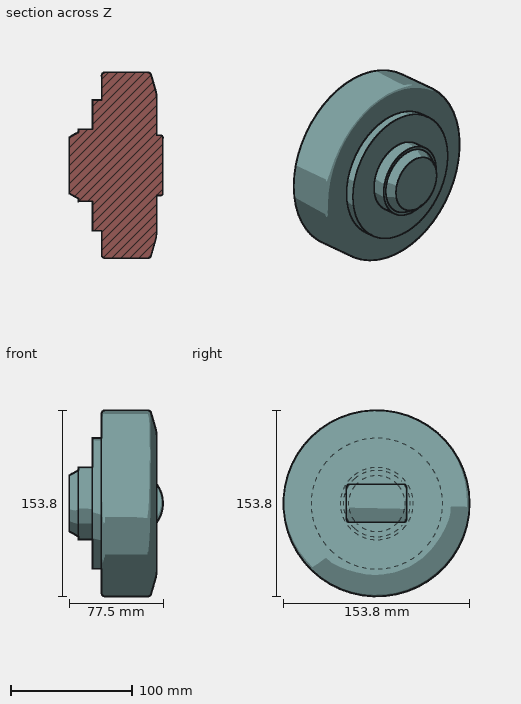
import cadquery as cq
import math

WHEEL_RADIUS = 76.9
FLANGE_RADIUS = 54.1
COLLAR_RADIUS = 30.0
PLUG_BASE_RADIUS = 27.5
PLUG_TIP_RADIUS = 23.2

COLLAR_X = 7.5
FLANGE_X = 19.0
WHEEL_X = 26.6
FACE_X = 72.3
TOTAL_LENGTH = 77.5

EDGE_RADIUS = 3.0
RIM_END_X = 64.7
CONE_ANGLE = math.radians(16)
FACE_BLEND_RADIUS = 20.0

BAR_LENGTH = 50.0
BAR_RADIUS = 26.1
BAR_END_FILLET = 2.3


def rim_arc_point(center_x, angle):
    """Point on a rim edge round, with angle measured from +X toward the rim."""
    return (
        center_x + EDGE_RADIUS * math.cos(angle),
        WHEEL_RADIUS - EDGE_RADIUS + EDGE_RADIUS * math.sin(angle),
    )


def make_wheel():
    back_center_x = WHEEL_X + EDGE_RADIUS
    cone_start = rim_arc_point(RIM_END_X, CONE_ANGLE)

    corner_radius = cone_start[1] - (FACE_X - cone_start[0]) / math.tan(CONE_ANGLE)
    blend_length = FACE_BLEND_RADIUS * math.tan(CONE_ANGLE / 2)
    blend_center = (FACE_X - FACE_BLEND_RADIUS, corner_radius - blend_length)

    def blend_point(angle):
        return (
            blend_center[0] + FACE_BLEND_RADIUS * math.cos(angle),
            blend_center[1] + FACE_BLEND_RADIUS * math.sin(angle),
        )

    profile = (
        cq.Workplane("XY")
        .moveTo(0, 0)
        .lineTo(0, PLUG_TIP_RADIUS)
        .lineTo(COLLAR_X, PLUG_BASE_RADIUS)
        .lineTo(COLLAR_X, COLLAR_RADIUS)
        .lineTo(FLANGE_X, COLLAR_RADIUS)
        .lineTo(FLANGE_X, FLANGE_RADIUS)
        .lineTo(WHEEL_X, FLANGE_RADIUS)
        .lineTo(WHEEL_X, WHEEL_RADIUS - EDGE_RADIUS)
        .threePointArc(
            rim_arc_point(back_center_x, math.radians(135)),
            (back_center_x, WHEEL_RADIUS),
        )
        .lineTo(RIM_END_X, WHEEL_RADIUS)
        .threePointArc(
            rim_arc_point(RIM_END_X, (math.pi / 2 + CONE_ANGLE) / 2), cone_start
        )
        .lineTo(*blend_point(CONE_ANGLE))
        .threePointArc(blend_point(CONE_ANGLE / 2), blend_point(0))
        .lineTo(FACE_X, 0)
        .close()
    )
    return profile.revolve(360, (0, 0, 0), (1, 0, 0))


def make_bar():
    return (
        cq.Workplane("XZ")
        .center(TOTAL_LENGTH - BAR_RADIUS, 0)
        .circle(BAR_RADIUS)
        .extrude(BAR_LENGTH / 2, both=True)
        .edges("%CIRCLE")
        .fillet(BAR_END_FILLET)
        .intersect(
            cq.Workplane("YZ", origin=((WHEEL_X + FACE_X) / 2, 0, 0))
            .circle(FLANGE_RADIUS)
            .extrude(TOTAL_LENGTH)
        )
    )


result = make_wheel().union(make_bar())